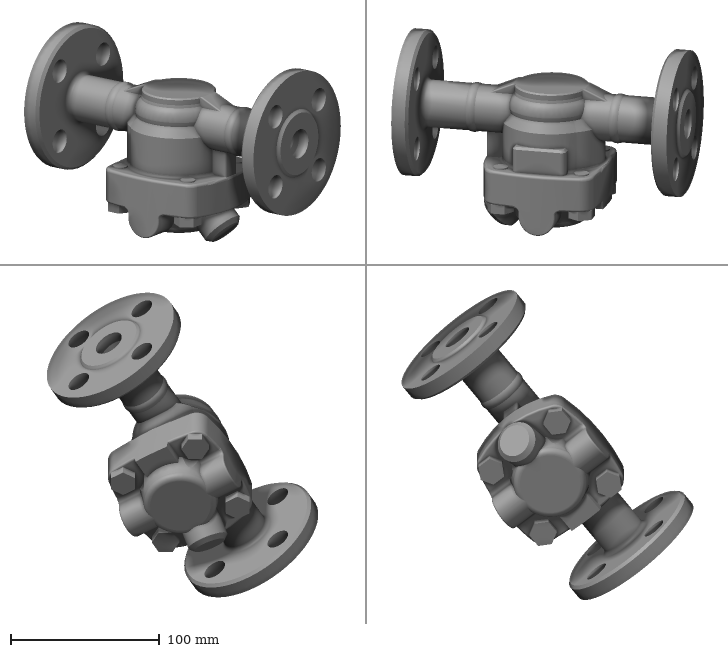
import cadquery as cq
import math

overall_length = 195.0
raised_face_height = 2.0
raised_face_base_radius = 23.4
flange_radius = 49.5
flange_thickness = 11.3
flange_chamfer = 2.0
pipe_radius = 16.0
pipe_root_fillet = 3.0
bead_center_x = 49.7
bead_width = 6.2
bead_radius = 16.8
flange_hole_diameter = 16.0
flange_hole_offset = 24.5
counterbore_diameter = 20.0
counterbore_depth = 7.8
bore_diameter = 15.0

body_x = -3.0
dome_top_z = 21.0
dome_radius = 25.0
dome_edge_chamfer = 1.0
neck_bottom_z = 16.5
bulge_start_z = 14.6
bulge_start_radius = 25.5
bulge_mid_z = 10.1
bulge_mid_radius = 28.7
bulge_radius = 29.5
groove_radius = 28.9
groove_top_z = 5.5
groove_bottom_z = 2.5
shoulder_z = -4.5
body_radius = 33.2

plate_top_z = -32.2
core_z = -43.9
cover_bottom_z = -56.0
plate_left_x = -42.0
plate_right_x = 42.0
plate_half_width = 41.1
plate_corner_left = (-39.2, 36.9)
plate_corner_right = (33.2, 35.5)
plate_corner_radius = 9.8
plate_top_fillet = 2.0
cover_edge_fillet = 1.5
body_base_fillet = 2.0

bolt_offset = 28.0
bolt_diameter = 10.0
bolt_tip_height = 1.0
hex_across_flats = 16.0
hex_height = 6.5
spotface_diameter = 28.0

boss_top_radius = 27.3
boss_lower_radius = 24.5
boss_taper_end_z = -69.8
boss_bottom_z = -74.1
lug_half_width = 12.7
lug_root_fillet = 3.1
lug_edge_fillet = 1.0
side_lug_half_width = 13.0
side_lug_bottom_z = -61.0
side_lug_draft = 1.0
drain_diameter = 28.0
drain_chamfer = 3.1
drain_length = 25.4
drain_end_x = 35.7
drain_end_z = -73.0

inlet_x = -11.7
inlet_radius = 27.7
outlet_right_x = 40.8
outlet_half_width = 6.2
outlet_edge_fillet = 1.5
outlet_top_z = -13.6
pad_half_width = 18.5
pad_back_y = 35.5
pad_top_z = -14.6
pad_end_fillet = 3.5
pad_top_chamfer = 1.5
wing_half_width = 8.2
wing_edge_fillet = 1.0
wing_reach = 41.3
wing_root = 25.0
wing_tip_z = 13.8

arc_mid_inset = 1 - math.sqrt(0.5)

flange_outer_x = overall_length / 2 - raised_face_height
flange_inner_x = flange_outer_x - flange_thickness


def block(x_range, y_range, z_range):
    """Box given by its two limits along each axis."""
    size = [high - low for low, high in (x_range, y_range, z_range)]
    return cq.Workplane("XY").box(*size, centered=False).translate((x_range[0], y_range[0], z_range[0]))


def cylinder(radius, x, y, bottom_z, top_z):
    """Upright cylinder."""
    return cq.Workplane("XY").workplane(offset=bottom_z).center(x, y).circle(radius).extrude(top_z - bottom_z)


def make_pipe_end():
    """Right-hand flange and pipe, down to the body axis."""
    raised_radius = raised_face_base_radius - raised_face_height
    fillet_mid = pipe_root_fillet * arc_mid_inset
    end = (
        cq.Workplane("XY")
        .moveTo(0, 0)
        .lineTo(0, pipe_radius)
        .lineTo(bead_center_x - bead_width / 2, pipe_radius)
        .threePointArc((bead_center_x, bead_radius), (bead_center_x + bead_width / 2, pipe_radius))
        .lineTo(flange_inner_x - pipe_root_fillet, pipe_radius)
        .threePointArc(
            (flange_inner_x - fillet_mid, pipe_radius + fillet_mid),
            (flange_inner_x, pipe_radius + pipe_root_fillet),
        )
        .lineTo(flange_inner_x, flange_radius - flange_chamfer)
        .lineTo(flange_inner_x + flange_chamfer, flange_radius)
        .lineTo(flange_outer_x, flange_radius)
        .lineTo(flange_outer_x, raised_face_base_radius)
        .lineTo(overall_length / 2, raised_radius)
        .lineTo(overall_length / 2, 0)
        .close()
        .revolve(360, (0, 0, 0), (1, 0, 0))
    )
    holes = (
        cq.Workplane("YZ")
        .workplane(offset=flange_inner_x - flange_chamfer)
        .rect(2 * flange_hole_offset, 2 * flange_hole_offset, forConstruction=True)
        .vertices()
        .circle(flange_hole_diameter / 2)
        .extrude(flange_thickness + 2 * flange_chamfer)
    )
    return end.cut(holes)


def make_bore():
    """Stepped blind bore in the right-hand end, stopping at the weld bead."""
    step = (counterbore_diameter - bore_diameter) / 2
    step_x = overall_length / 2 - counterbore_depth
    return (
        cq.Workplane("XY")
        .moveTo(bead_center_x, 0)
        .lineTo(bead_center_x, bore_diameter / 2)
        .lineTo(step_x - step, bore_diameter / 2)
        .lineTo(step_x, counterbore_diameter / 2)
        .lineTo(overall_length / 2, counterbore_diameter / 2)
        .lineTo(overall_length / 2, 0)
        .close()
        .revolve(360, (0, 0, 0), (1, 0, 0))
    )


def both_ends(shape):
    """The shape together with its mirror image on the other pipe end."""
    return shape.union(shape.mirror("YZ"))


def make_body():
    """Dome, bulge, shoulder and round wall, with a flared foot on the plate."""
    foot_mid = body_base_fillet * arc_mid_inset
    return (
        cq.Workplane("XZ")
        .moveTo(0, dome_top_z)
        .lineTo(dome_radius - dome_edge_chamfer, dome_top_z)
        .lineTo(dome_radius, dome_top_z - dome_edge_chamfer)
        .lineTo(dome_radius, neck_bottom_z)
        .lineTo(bulge_start_radius, bulge_start_z)
        .threePointArc((bulge_mid_radius, bulge_mid_z), (bulge_radius, groove_top_z))
        .lineTo(groove_radius, groove_bottom_z)
        .lineTo(body_radius, shoulder_z)
        .lineTo(body_radius, plate_top_z + body_base_fillet)
        .threePointArc(
            (body_radius + foot_mid, plate_top_z + foot_mid),
            (body_radius + body_base_fillet, plate_top_z),
        )
        .lineTo(body_radius + body_base_fillet, core_z)
        .lineTo(0, core_z)
        .close()
        .revolve(360, (0, 0, 0), (0, 1, 0))
        .translate((body_x, 0, 0))
    )


def make_inlet_chamber():
    """Round widening of the body under the left pipe, with the same shoulder slope."""
    cone_top_radius = inlet_radius - (body_radius - groove_radius)
    foot_mid = body_base_fillet * arc_mid_inset
    return (
        cq.Workplane("XZ")
        .moveTo(0, groove_bottom_z)
        .lineTo(cone_top_radius, groove_bottom_z)
        .lineTo(inlet_radius, shoulder_z)
        .lineTo(inlet_radius, plate_top_z + body_base_fillet)
        .threePointArc(
            (inlet_radius + foot_mid, plate_top_z + foot_mid),
            (inlet_radius + body_base_fillet, plate_top_z),
        )
        .lineTo(inlet_radius + body_base_fillet, core_z)
        .lineTo(0, core_z)
        .close()
        .revolve(360, (0, 0, 0), (0, 1, 0))
        .translate((inlet_x, 0, 0))
    )


def make_outlet_block():
    """Block joining the plate to the underside of the right pipe."""
    outlet = block((body_x, outlet_right_x), (-outlet_half_width, outlet_half_width), (core_z, outlet_top_z))
    return outlet.edges("|Z and >X").fillet(outlet_edge_fillet)


def make_name_pad():
    """Flat pad with rounded ends and a bevelled top on the back of the body."""
    pad = block((body_x - pad_half_width, body_x + pad_half_width), (0, pad_back_y), (core_z, pad_top_z))
    return pad.edges("|Z and >Y").fillet(pad_end_fillet).faces(">Z").edges(">Y").chamfer(pad_top_chamfer)


def make_wings():
    """Sloping webs from the dome top down to the pipes."""
    return (
        cq.Workplane("XZ")
        .polyline([
            (-wing_reach, wing_tip_z),
            (-wing_root, dome_top_z),
            (wing_root, dome_top_z),
            (wing_reach, wing_tip_z),
        ])
        .close()
        .extrude(wing_half_width, both=True)
        .edges("not (|X or |Y)")
        .fillet(wing_edge_fillet)
        .translate((body_x, 0, 0))
    )


def make_plate(bottom_z, top_z):
    """Four-cornered plate with bowed sides."""
    left_x, left_y = plate_corner_left
    right_x, right_y = plate_corner_right
    return (
        cq.Workplane("XY")
        .workplane(offset=bottom_z)
        .moveTo(left_x, -left_y)
        .threePointArc((body_x, -plate_half_width), (right_x, -right_y))
        .threePointArc((plate_right_x, 0), (right_x, right_y))
        .threePointArc((body_x, plate_half_width), (left_x, left_y))
        .threePointArc((plate_left_x, 0), (left_x, -left_y))
        .close()
        .extrude(top_z - bottom_z)
        .edges("|Z")
        .fillet(plate_corner_radius)
    )


def make_cover_boss():
    """Tapered round boss under the cover with a rounded bottom edge."""
    fillet = boss_taper_end_z - boss_bottom_z
    fillet_mid = fillet * arc_mid_inset
    return (
        cq.Workplane("XZ")
        .moveTo(0, cover_bottom_z)
        .lineTo(boss_top_radius, cover_bottom_z)
        .lineTo(boss_lower_radius, boss_taper_end_z)
        .threePointArc(
            (boss_lower_radius - fillet_mid, boss_bottom_z + fillet_mid),
            (boss_lower_radius - fillet, boss_bottom_z),
        )
        .lineTo(0, boss_bottom_z)
        .close()
        .revolve(360, (0, 0, 0), (0, 1, 0))
        .translate((body_x, 0, 0))
    )


def make_cross_lug():
    """Round-bottomed lug running across the cover from front to back."""
    round_z = boss_bottom_z + lug_half_width
    root_z = cover_bottom_z - lug_root_fillet
    root_x = lug_half_width + lug_root_fillet
    root_mid = lug_root_fillet * arc_mid_inset
    profile = (
        cq.Workplane("XZ")
        .moveTo(-root_x, core_z)
        .lineTo(-root_x, cover_bottom_z)
        .threePointArc((-lug_half_width - root_mid, cover_bottom_z - root_mid), (-lug_half_width, root_z))
        .lineTo(-lug_half_width, round_z)
        .threePointArc((0, boss_bottom_z), (lug_half_width, round_z))
        .lineTo(lug_half_width, root_z)
        .threePointArc((lug_half_width + root_mid, cover_bottom_z - root_mid), (root_x, cover_bottom_z))
        .lineTo(root_x, core_z)
        .close()
        .extrude(2 * plate_half_width, both=True)
        .translate((body_x, 0, 0))
    )
    lug = profile.intersect(make_plate(boss_bottom_z, core_z))
    return lug.faces("<Y or >Y").edges("not >Z").fillet(lug_edge_fillet)


def make_side_lug():
    """Shallow lug with slightly sloped flanks on the left of the cover."""
    bottom_half_width = side_lug_half_width - side_lug_draft
    lug = (
        cq.Workplane("YZ")
        .polyline([
            (-side_lug_half_width, core_z),
            (-side_lug_half_width, cover_bottom_z),
            (-bottom_half_width, side_lug_bottom_z),
            (bottom_half_width, side_lug_bottom_z),
            (side_lug_half_width, cover_bottom_z),
            (side_lug_half_width, core_z),
        ])
        .close()
        .extrude(-overall_length / 2)
    )
    return lug.intersect(make_plate(side_lug_bottom_z, core_z))


def make_drain_plug():
    """Round plug leaving the cover boss at 45 degrees, down and to the right."""
    end_plane = cq.Plane(origin=(drain_end_x, 0, drain_end_z), xDir=(0, 1, 0), normal=(1, 0, -1))
    return (
        cq.Workplane(end_plane)
        .circle(drain_diameter / 2)
        .extrude(-drain_length)
        .faces(cq.selectors.DirectionMinMaxSelector(cq.Vector(1, 0, -1)))
        .chamfer(drain_chamfer)
    )


def make_bolt(x, y, turn):
    """Bolt tip above the plate and hexagon head below the cover."""
    head = (
        cq.Workplane("XY")
        .polygon(6, hex_across_flats, circumscribed=True)
        .extrude(-hex_height)
        .rotate((0, 0, 0), (0, 0, 1), turn)
        .translate((x, y, cover_bottom_z))
    )
    return head.union(cylinder(bolt_diameter / 2, x, y, cover_bottom_z, plate_top_z + bolt_tip_height))


bolt_places = [
    (body_x + side_x * bolt_offset, side_y * bolt_offset, 90 if side_x == side_y else 0)
    for side_x in (-1, 1)
    for side_y in (-1, 1)
]

plate = (
    make_plate(cover_bottom_z, plate_top_z)
    .faces(">Z")
    .edges()
    .fillet(plate_top_fillet)
    .faces("<Z")
    .edges()
    .fillet(cover_edge_fillet)
)

boss = make_cover_boss()
for bolt_x, bolt_y, _ in bolt_places:
    boss = boss.cut(cylinder(spotface_diameter / 2, bolt_x, bolt_y, boss_bottom_z, cover_bottom_z))

result = plate
for feature in (
    boss,
    make_cross_lug(),
    make_side_lug(),
    make_drain_plug(),
    make_body(),
    make_inlet_chamber(),
    make_outlet_block(),
    make_name_pad(),
    make_wings(),
    both_ends(make_pipe_end()),
):
    result = result.union(feature)
for bolt_x, bolt_y, bolt_turn in bolt_places:
    result = result.union(make_bolt(bolt_x, bolt_y, bolt_turn))
result = result.cut(both_ends(make_bore()))